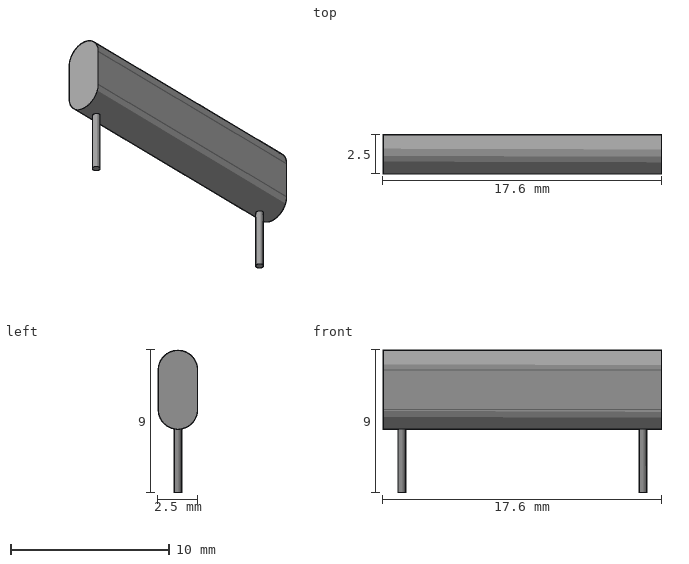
import cadquery as cq

body_length = 17.6
body_width = 2.5
body_height = 2 * body_width

pin_diameter = 0.5
pin_length = 4.0
pin_spacing = 15.25
pin_embed = body_width / 2


def make_body():
    """Bar centred on X and Y, with its lowest line at Z = 0."""
    return (
        cq.Workplane("YZ")
        .center(0, body_height / 2)
        .slot2D(body_height, body_width, angle=90)
        .extrude(body_length / 2, both=True)
    )


def make_pins():
    """Pair of pins hanging below the body, with their tops inside it."""
    return (
        cq.Workplane("XY", origin=(0, 0, -pin_length))
        .pushPoints([(-pin_spacing / 2, 0), (pin_spacing / 2, 0)])
        .circle(pin_diameter / 2)
        .extrude(pin_length + pin_embed)
    )


result = make_body().union(make_pins())